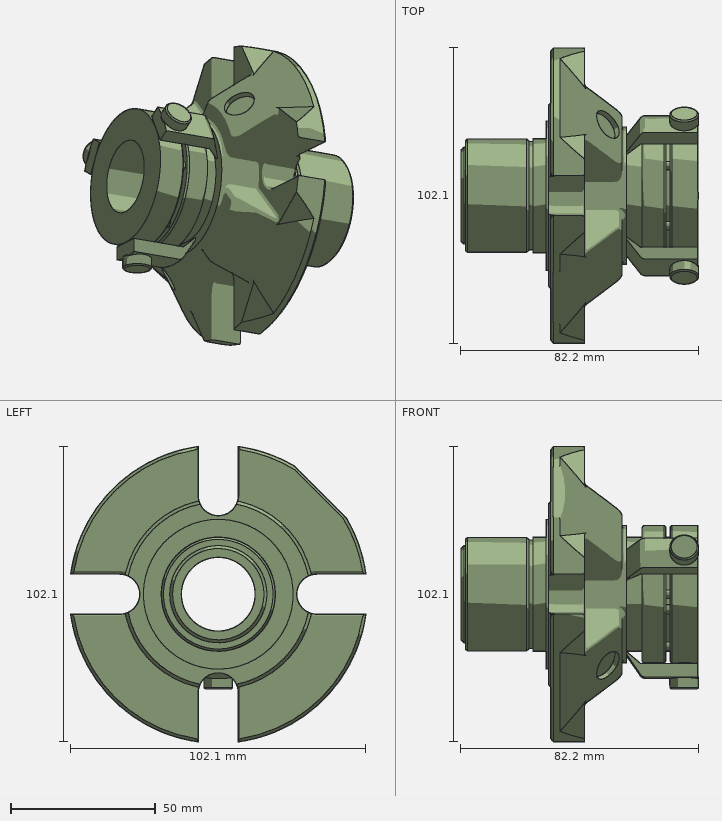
import cadquery as cq
import math


bore_dia = 25.4
tip_dia, tip_end, tip_chamfer = 33.6, 1.5, 1.0
sleeve_dia, sleeve_end, sleeve_chamfer = 39.3, 23.5, 0.7
groove_dia, groove_end = 37.6, 24.9
shaft_dia = 39.5

gasket_dia, gasket_start = 51.8, 29.5
boss_dia, boss_start, boss_flare = 63.5, 30.2, 1.1
flange_dia, flange_start, flange_back = 103.0, 31.0, 42.8
rim_chamfer = 1.0
slot_width, slot_bottom_radius, slot_edge_fillet = 13.8, 27.2, 1.2
slot_back_fillet = 0.8
slot_count = 4
quarter_turn = 360 / slot_count
flat_distance, flat_chamfer, flat_fillet = 49.9, 0.8, 1.0
flat_angle = 135

cone_start = 34.3
rib_end = 55.7
rib_width, rib_end_fillet = 26.1, 2.6
rib_root_fillet, rib_edge_fillet = 1.4, 0.8
hub_dia, hub_end = 47.6, 57.3
port_dia, port_depth, port_x = 11.0, 2.1, 50.8

ear_foot_angle = 23.1
ear_top_angle = 14.2
ear_inner_angle = 29.4

front_collar_start, front_collar_end = 62.6, 70.9
rear_collar_start, rear_collar_end = 72.3, 81.9
collar_dia, collar_fillet, collar_chamfer = 47.6, 1.0, 0.6
spring_dia, spring_count = 2.9, 6
drive_pin_dia, drive_pin_angle = 3.2, 194.5
pin_circle_radius, pin_seat_depth = 20.7, 1.0
clip_count, clip_width = 3, 11.6
first_clip_angle = 270
clip_outer_radius, clip_inner_radius = 29.2, 23.9
clip_bend, clip_bend_radius = 62.7, 2.0
clip_nose_inner, clip_nose_outer = 19.8, 21.5
clip_inner_bend = 62.1
screw_dia, screw_shank_dia, screw_top_radius, screw_chamfer = 10.0, 6.0, 32.8, 0.5
screw_x = 77.2

flange_radius = flange_dia / 2
hub_radius = hub_dia / 2
beyond = flange_dia
tolerance = 0.01


def cone_radius(x):
    return flange_radius - (x - cone_start)


def turned(points):
    """Revolve an (x, radius) outline about the X axis."""
    return cq.Workplane("XY").polyline(points).close().revolve(360, (0, 0, 0), (1, 0, 0))


def disc(start, end, dia):
    return cq.Workplane("YZ", origin=(start, 0, 0)).circle(dia / 2).extrude(end - start)


def about_axis(shape, angle):
    return shape.rotate((0, 0, 0), (1, 0, 0), angle)


def polar_point(x, radius, angle):
    """Point at an angle measured from +Y towards +Z."""
    turn = math.radians(angle)
    return cq.Vector(x, radius * math.cos(turn), radius * math.sin(turn))


def make_sleeve():
    tip = disc(0, sleeve_end, tip_dia).faces("<X").chamfer(tip_chamfer)
    body = disc(tip_end, sleeve_end, sleeve_dia).faces("<X or >X").chamfer(sleeve_chamfer)
    groove_floor = disc(tip_end + sleeve_chamfer, groove_end, groove_dia)
    shaft = disc(groove_end, rear_collar_end, shaft_dia)
    return tip.union(body).union(groove_floor).union(shaft)


def make_ribbed_hub():
    """Oversize flange disc, hub and two crossing bars that form the four ribs."""
    blank = disc(flange_start, flange_back, 2 * beyond).union(disc(flange_start, hub_end, hub_dia))
    length = rib_end - flange_start
    for angle in (45, 135):
        bar = cq.Workplane("XY").box(length, beyond, rib_width, centered=(False, True, True))
        bar = bar.translate((flange_start, 0, 0))
        bar = bar.faces(">X").edges("|Y").fillet(rib_end_fillet)
        blank = blank.union(about_axis(bar, angle))
    return blank


def half_space(points):
    """Everything on the outer side of the plane through three points."""
    a, b, c = points
    normal = (b - a).cross(c - a)
    if normal.dot(a) < 0:
        normal = -normal
    plane = cq.Plane(origin=a, normal=normal)
    return cq.Workplane(plane).rect(2 * beyond, 2 * beyond).extrude(beyond)


def ear_relief():
    """Cutter that parts the two ears of the +Y +Z quarter."""
    corners = (
        (cone_start, flange_radius, ear_foot_angle),
        (flange_back, flange_radius, ear_top_angle),
        (flange_back, cone_radius(flange_back), ear_inner_angle),
    )
    low_side = half_space([polar_point(x, r, a) for x, r, a in corners])
    high_side = half_space([polar_point(x, r, quarter_turn - a) for x, r, a in corners])
    return low_side.intersect(high_side)


def make_ears():
    """Full-height flange corners on both sides of every slot."""
    ears = disc(cone_start, flange_back, flange_dia)
    for i in range(slot_count):
        ears = ears.cut(about_axis(ear_relief(), i * quarter_turn))
    return ears


def slot_cutter():
    """Open slot towards +Y."""
    round_centre = slot_bottom_radius + slot_width / 2
    depth = flange_back - boss_start
    plane = cq.Workplane("YZ", origin=(boss_start, 0, 0))
    end = plane.center(round_centre, 0).circle(slot_width / 2).extrude(depth)
    sides = plane.center(round_centre + beyond / 2, 0).rect(beyond, slot_width).extrude(depth)
    return end.union(sides)


def cut_slots(body):
    for i in range(slot_count):
        body = body.cut(about_axis(slot_cutter(), i * quarter_turn))
    return body


def cone_envelope():
    """Bevelled rim followed by the 45 degree cone and clearance for the hub end."""
    return turned([
        (flange_start, 0),
        (flange_start, flange_radius - rim_chamfer),
        (flange_start + rim_chamfer, flange_radius),
        (cone_start, flange_radius),
        (rib_end, cone_radius(rib_end)),
        (hub_end, cone_radius(rib_end)),
        (hub_end, 0),
    ])


def cut_rim_flat(body):
    """One bevelled flat on the rim, centred between the -Y and +Z slots."""
    cutter = (
        cq.Workplane("XY", origin=(0, 0, -beyond / 2))
        .polyline([
            (flange_start, flat_distance - flat_chamfer),
            (flange_start + flat_chamfer, flat_distance),
            (flange_back, flat_distance),
            (flange_back, beyond),
            (flange_start, beyond),
        ])
        .close()
        .extrude(beyond)
    )
    return body.cut(about_axis(cutter, flat_angle))


def round_ribs(body):
    """Round the ribs where their walls meet the cone, then fill their roots."""
    def is_crest_edge(edge):
        middle = edge.positionAt(0.5)
        on_cone = abs(math.hypot(middle.y, middle.z) - cone_radius(middle.x)) < tolerance
        return on_cone and flange_back + tolerance < middle.x < rib_end - tolerance

    def is_root_edge(edge):
        middle = edge.positionAt(0.5)
        radius = math.hypot(middle.y, middle.z)
        on_flange = abs(middle.x - flange_back) < tolerance and radius < cone_radius(flange_back) - tolerance
        on_hub = abs(radius - hub_radius) < tolerance and flange_back < middle.x < rib_end + tolerance
        return on_flange or on_hub

    body = body.edges().filter(is_crest_edge).fillet(rib_edge_fillet)
    return body.edges().filter(is_root_edge).fillet(rib_root_fillet)


def round_slot_edges(body, face_x, radius):
    """Round the slot outlines on the flange face at the given X."""
    def is_slot_edge(edge):
        middle = edge.positionAt(0.5)
        beside_slot = min(abs(middle.y), abs(middle.z)) < slot_width / 2 + tolerance
        outside_hub = math.hypot(middle.y, middle.z) > slot_bottom_radius - tolerance
        return abs(middle.x - face_x) < tolerance and beside_slot and outside_hub

    return body.edges().filter(is_slot_edge).fillet(radius)


def make_boss():
    """Raised boss with its flared foot, set into the flange face."""
    foot = flange_start + slot_edge_fillet
    flared_radius = boss_dia / 2 + boss_flare
    boss = turned([
        (boss_start, 0),
        (boss_start, boss_dia / 2),
        (flange_start, flared_radius),
        (foot, flared_radius),
        (foot, 0),
    ])
    return cut_slots(boss)


def make_gland():
    envelope = cut_rim_flat(cone_envelope().union(make_ears()))
    flat_edge = polar_point(cone_start + flange_radius - flat_distance, flat_distance, flat_angle)
    envelope = envelope.edges(cq.selectors.NearestToPointSelector(flat_edge.toTuple())).fillet(flat_fillet)

    gland = cut_slots(round_ribs(make_ribbed_hub().intersect(envelope)))
    gland = round_slot_edges(gland, flange_start, slot_edge_fillet)
    gland = round_slot_edges(gland, flange_back, slot_back_fillet)
    return gland.union(make_boss()).union(disc(gasket_start, boss_start, gasket_dia))


def port_cutter(angle):
    """Shallow round recess sunk square to the cone."""
    outward = polar_point(1, 1, angle)
    floor = polar_point(port_x, cone_radius(port_x), angle) - outward.normalized() * port_depth
    return cq.Workplane(cq.Plane(origin=floor, normal=outward)).circle(port_dia / 2).extrude(port_dia)


def make_collars():
    front = disc(front_collar_start, front_collar_end, collar_dia)
    front = front.faces("<X").edges().fillet(collar_fillet).faces(">X").edges().chamfer(collar_chamfer)
    rear = disc(rear_collar_start, rear_collar_end, collar_dia).faces("<X").chamfer(collar_chamfer)
    return front.union(rear)


def gap_pin(dia, angle):
    """Pin along X that bridges the gap between the collars."""
    start = polar_point(front_collar_end - pin_seat_depth, pin_circle_radius, angle)
    length = rear_collar_start - front_collar_end + 2 * pin_seat_depth
    return disc(0, length, dia).translate(start)


def make_clip():
    """Setting clip and its screw, pointing towards +Y."""
    block = (
        cq.Workplane("XY", origin=(0, 0, -clip_width / 2))
        .polyline([
            (hub_end, clip_nose_inner),
            (hub_end, clip_outer_radius),
            (rear_collar_end, clip_outer_radius),
            (rear_collar_end, clip_inner_radius),
            (clip_inner_bend, clip_inner_radius),
        ])
        .close()
        .extrude(clip_width)
    )
    outside = turned([
        (hub_end, 0),
        (hub_end, clip_nose_outer),
        (clip_bend, clip_outer_radius),
        (rear_collar_end, clip_outer_radius),
        (rear_collar_end, 0),
    ])
    widest = cq.selectors.RadiusNthSelector(-1)
    outside = outside.edges("%CIRCLE").edges(widest).edges("<X").fillet(clip_bend_radius)
    clip = block.intersect(outside)

    seat = math.sqrt(clip_outer_radius ** 2 - (clip_width / 2) ** 2)
    base = cq.Workplane("XZ", origin=(screw_x, seat, 0))
    head = base.circle(screw_dia / 2).extrude(-(screw_top_radius - seat))
    head = head.faces(">Y").chamfer(screw_chamfer)
    shank = base.circle(screw_shank_dia / 2).extrude(seat - shaft_dia / 2)
    return clip.union(head).union(shank)


result = make_sleeve().union(make_gland())
for port_angle in (45, 225):
    result = result.cut(port_cutter(port_angle))
result = result.union(make_collars())
for i in range(spring_count):
    result = result.union(gap_pin(spring_dia, i * 360 / spring_count))
result = result.union(gap_pin(drive_pin_dia, drive_pin_angle))
for i in range(clip_count):
    result = result.union(about_axis(make_clip(), first_clip_angle + i * 360 / clip_count))
result = result.cut(disc(0, rear_collar_end, bore_dia))